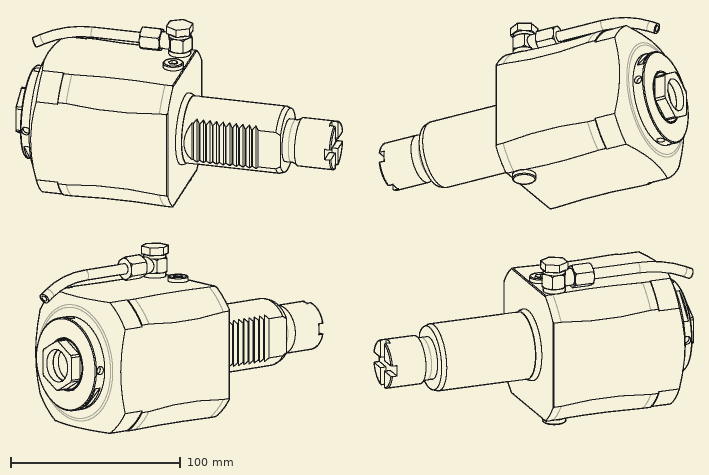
import cadquery as cq
import math


cut_margin = 2.0

nose_length = 6.5
housing_front = 13.5
housing_back = 100.0
shank_start = 103.3
shank_end = 162.9
neck_end = 166.8
head_start = 171.0
drive_end = 193.0

block_side = 79.0
half_side = block_side / 2
front_face_radius = 34.7
front_edge_chamfer = 1.5
front_edge_depth = 0.4
cone_end = 19.5
land_radius = 46.9
land_end = 32.6
corner_radius = 47.5
waist_start = 37.8
waist_end = 95.0
waist_radius = 46.5
back_chamfer = 0.5

ring_radius = 27.8
ring_chamfer = 0.5
spanner_hole_diameter = 4.8
spanner_hole_depth = 2.9
drill_point_depth = 1.4
ring_middle = (nose_length + housing_front) / 2
flat_distance = 25.9
flat_width = 3.7
nose_clearance_radius = 15.8
nose_clearance_depth = 2.0

collar_radius = 21.5
collar_tip_radius = 19.5
shank_radius = 20.0
shank_chamfer_length = 2.9
shank_chamfer_depth = 1.0

rack_flat_distance = 16.2
rack_flat_start = 108.7
groove_count = 10
first_groove = 111.4
last_groove = 147.5
groove_depth = 1.7

nose_across_flats = 26.5
nose_corner_radius = 14.9
nose_collar_radius = 15.0
mouth_radius = 9.6
mouth_depth = 4.8
nose_bore_radius = 9.5
nose_bore_depth = 8.7
spindle_radius = 12.7
head_radius = 14.5
head_edge_length = 0.8
head_edge_depth = 0.5
drive_slot_width = 6.5
drive_slot_depth = 3.7

fitting_x = 91.5
fitting_y = 19.9
pipe_height = 46.7
fitting_stem_radius = 6.5
banjo_corner_radius = 7.7
banjo_bottom = 42.3
banjo_top = 51.0
bolt_head_bottom = 53.0
bolt_across_flats = 14.0
pipe_stub_radius = 5.0
nut_front = 68.3
nut_back = 80.5
nut_corner_radius = 7.1
hexagon_chamfer = 0.8
pipe_radius = 3.0
pipe_bore_radius = 1.7
pipe_bore_depth = 3.9
bend_start = 38.0
bend_radius = 63.7
bend_angle = 28.0
bend_tilt = 21.0
pipe_tip_length = 5.0

top_plug_x = 92.8
top_plug_radius = 6.0
top_plug_height = 2.9
socket_across_flats = 4.8
socket_depth = 2.0
bottom_plug_radius = 7.0
bottom_plug_height = 3.0
plug_chamfer = 0.5

overall_height = 100.4
bolt_head_top = overall_height - half_side - bottom_plug_height


def x_cylinder(start, end, radius):
    """Cylinder on the spindle axis."""
    return cq.Workplane("YZ").workplane(offset=start).circle(radius).extrude(end - start)


def hexagon_points(corner_radius, first_angle):
    angles = [math.radians(first_angle + 60 * i) for i in range(6)]
    return [(corner_radius * math.cos(a), corner_radius * math.sin(a)) for a in angles]


def corner_distance(across_flats):
    return across_flats / math.sqrt(3)


def make_block():
    """Square block cut to a turned envelope: front cone, land and waisted corners."""
    waist_middle = (waist_start + waist_end) / 2
    envelope = (
        cq.Workplane("XY")
        .moveTo(housing_front, 0)
        .lineTo(housing_front, front_face_radius - front_edge_chamfer)
        .lineTo(housing_front + front_edge_depth, front_face_radius)
        .lineTo(cone_end, land_radius)
        .lineTo(land_end, land_radius)
        .lineTo(land_end, corner_radius)
        .lineTo(waist_start, corner_radius)
        .threePointArc((waist_middle, waist_radius), (waist_end, corner_radius))
        .lineTo(housing_back, corner_radius)
        .lineTo(housing_back, 0)
        .close()
        .revolve(360, (0, 0, 0), (1, 0, 0))
    )
    square = (
        cq.Workplane("YZ")
        .workplane(offset=housing_front)
        .rect(block_side, block_side)
        .extrude(housing_back - housing_front)
        .faces(">X")
        .chamfer(back_chamfer)
    )
    return square.intersect(envelope)


def make_ring():
    """Front ring with four radial spanner holes and two opposite flats."""
    ring = x_cylinder(nose_length, housing_front, ring_radius).faces("<X").chamfer(ring_chamfer)
    hole_radius = spanner_hole_diameter / 2
    hole_floor = ring_radius - spanner_hole_depth
    hole = (
        cq.Workplane("XZ", origin=(ring_middle, 0, 0))
        .moveTo(0, hole_floor - drill_point_depth)
        .lineTo(hole_radius, hole_floor)
        .lineTo(hole_radius, ring_radius + cut_margin)
        .lineTo(0, ring_radius + cut_margin)
        .close()
        .revolve(360, (0, 0, 0), (0, 1, 0))
    )
    for angle in (0, 90, 180, 270):
        ring = ring.cut(hole.rotate((0, 0, 0), (1, 0, 0), angle))
    flat = (
        cq.Workplane("XY")
        .workplane(offset=flat_distance)
        .center(ring_middle, 0)
        .rect(flat_width, 2 * ring_radius)
        .extrude(ring_radius)
    )
    for angle in (-45, 135):
        ring = ring.cut(flat.rotate((0, 0, 0), (1, 0, 0), angle))
    return ring


def make_shank():
    """Round shank with its collar, and a toothed flat on the -Y side."""
    shank = (
        cq.Workplane("XY")
        .moveTo(housing_back - cut_margin, 0)
        .lineTo(housing_back - cut_margin, collar_radius)
        .lineTo(housing_back, collar_radius)
        .tangentArcPoint((shank_start, collar_tip_radius), relative=False)
        .lineTo(shank_start, shank_radius)
        .lineTo(shank_end - shank_chamfer_length, shank_radius)
        .lineTo(shank_end, shank_radius - shank_chamfer_depth)
        .lineTo(shank_end, 0)
        .close()
        .revolve(360, (0, 0, 0), (1, 0, 0))
    )
    runout = shank_radius - rack_flat_distance + cut_margin
    flat = (
        cq.Workplane("XY")
        .moveTo(rack_flat_start, -rack_flat_distance)
        .lineTo(rack_flat_start - runout, -rack_flat_distance - runout)
        .lineTo(shank_end, -rack_flat_distance - runout)
        .lineTo(shank_end, -rack_flat_distance)
        .close()
        .extrude(shank_radius, both=True)
    )
    shank = shank.cut(flat)
    groove_pitch = (last_groove - first_groove) / (groove_count - 1)
    for i in range(groove_count):
        x = first_groove + i * groove_pitch
        groove = (
            cq.Workplane("XY")
            .moveTo(x, -rack_flat_distance + groove_depth)
            .lineTo(x - 2 * groove_depth, -rack_flat_distance - groove_depth)
            .lineTo(x + 2 * groove_depth, -rack_flat_distance - groove_depth)
            .close()
            .extrude(shank_radius, both=True)
        )
        shank = shank.cut(groove)
    return shank


def hexagon_prism(base, corner_radius, first_angle, length):
    return base.polyline(hexagon_points(corner_radius, first_angle)).close().extrude(length)


def chamfered_hexagon(base, corner_radius, first_angle, length):
    """Hexagon prism with its corners turned down at both ends."""
    envelope = (
        cq.Workplane(base.plane)
        .circle(corner_radius)
        .extrude(length)
        .edges("%CIRCLE")
        .chamfer(hexagon_chamfer)
    )
    return hexagon_prism(base, corner_radius, first_angle, length).intersect(envelope)


def fitting_plane(height):
    return cq.Workplane("XY", origin=(fitting_x, fitting_y, height))


def make_fitting():
    """Banjo fitting with its bolt and union nut."""
    stem = fitting_plane(half_side).circle(fitting_stem_radius).extrude(bolt_head_bottom - half_side)
    banjo = chamfered_hexagon(
        fitting_plane(banjo_bottom), banjo_corner_radius, 0, banjo_top - banjo_bottom
    )
    bolt_head = hexagon_prism(
        fitting_plane(bolt_head_bottom),
        corner_distance(bolt_across_flats),
        90,
        bolt_head_top - bolt_head_bottom,
    )
    pipe_plane = cq.Workplane("YZ", origin=(nut_front, fitting_y, pipe_height))
    stub = pipe_plane.circle(pipe_stub_radius).extrude(fitting_x - nut_front)
    nut = chamfered_hexagon(pipe_plane, nut_corner_radius, 90, nut_back - nut_front)
    return stem.union(banjo).union(bolt_head).union(stub).union(nut)


def make_pipe():
    """Straight pipe, bent down at its front end, with a bore in the tip."""
    angle = math.radians(bend_angle)

    def bend_point(turn):
        x = bend_start - bend_radius * math.sin(turn)
        z = pipe_height - bend_radius * (1 - math.cos(turn))
        return (x, z)

    bend_end = bend_point(angle)
    tip = (
        bend_end[0] - pipe_tip_length * math.cos(angle),
        bend_end[1] - pipe_tip_length * math.sin(angle),
    )
    path = (
        cq.Workplane("XZ", origin=(0, fitting_y, 0))
        .moveTo(nut_front, pipe_height)
        .lineTo(bend_start, pipe_height)
        .threePointArc(bend_point(angle / 2), bend_end)
        .lineTo(*tip)
    )
    pipe_plane = cq.Workplane("YZ", origin=(nut_front, fitting_y, pipe_height))
    pipe = pipe_plane.circle(pipe_radius).sweep(path)
    tip_centre = cq.Vector(tip[0], fitting_y, tip[1])
    inward = cq.Vector(math.cos(angle), 0, math.sin(angle))
    bore = cq.Solid.makeCylinder(pipe_bore_radius, pipe_bore_depth, tip_centre, inward)
    pipe = pipe.cut(cq.Workplane(bore))
    axis_start = (0, fitting_y, pipe_height)
    axis_end = (1, fitting_y, pipe_height)
    return pipe.rotate(axis_start, axis_end, -bend_tilt)


def make_top_plug():
    """Screw plug with a hexagon socket."""
    return (
        cq.Workplane("XY", origin=(top_plug_x, 0, half_side))
        .circle(top_plug_radius)
        .extrude(top_plug_height)
        .faces(">Z")
        .chamfer(plug_chamfer)
        .faces(">Z")
        .workplane()
        .polygon(6, corner_distance(socket_across_flats) * 2)
        .cutBlind(-socket_depth)
    )


def make_bottom_plug():
    return (
        cq.Workplane("XY", origin=(fitting_x, fitting_y, -half_side))
        .circle(bottom_plug_radius)
        .extrude(-bottom_plug_height)
        .faces("<Z")
        .chamfer(plug_chamfer)
    )


def make_housing():
    """Housing with everything fixed to it, bored through for the spindle."""
    housing = make_block().union(make_ring()).union(make_shank())
    for part in (make_fitting(), make_pipe(), make_top_plug(), make_bottom_plug()):
        housing = housing.union(part)
    clearance_end = nose_length + nose_clearance_depth
    housing = housing.cut(x_cylinder(nose_length, clearance_end, nose_clearance_radius))
    return housing.cut(x_cylinder(nose_length, shank_end, spindle_radius))


def make_spindle():
    """Spindle with a hollow hexagon nose and a cross-slotted drive head."""
    collar_end = nose_length + nose_clearance_depth
    nose_corner_distance = corner_distance(nose_across_flats)
    hexagon = hexagon_prism(cq.Workplane("YZ"), nose_corner_distance, 90, nose_length)
    nose = hexagon.intersect(x_cylinder(0, nose_length, nose_corner_radius))
    collar = x_cylinder(nose_length, collar_end, nose_collar_radius)
    shaft = (
        cq.Workplane("XY")
        .moveTo(nose_length, 0)
        .lineTo(nose_length, spindle_radius)
        .lineTo(neck_end, spindle_radius)
        .tangentArcPoint((head_start, head_radius), relative=False)
        .lineTo(drive_end - head_edge_length, head_radius)
        .lineTo(drive_end, head_radius - head_edge_depth)
        .lineTo(drive_end, 0)
        .close()
        .revolve(360, (0, 0, 0), (1, 0, 0))
    )
    spindle = nose.union(collar).union(shaft)
    spindle = spindle.cut(x_cylinder(0, mouth_depth, mouth_radius))
    spindle = spindle.cut(x_cylinder(0, nose_bore_depth, nose_bore_radius))
    slot = (
        cq.Workplane("YZ")
        .workplane(offset=drive_end - drive_slot_depth)
        .rect(drive_slot_width, 2 * head_radius)
        .extrude(drive_slot_depth)
    )
    for angle in (0, 90):
        spindle = spindle.cut(slot.rotate((0, 0, 0), (1, 0, 0), angle))
    return spindle


housing = make_housing()
spindle = make_spindle()
result = cq.Compound.makeCompound([housing.solids().val(), spindle.solids().val()])